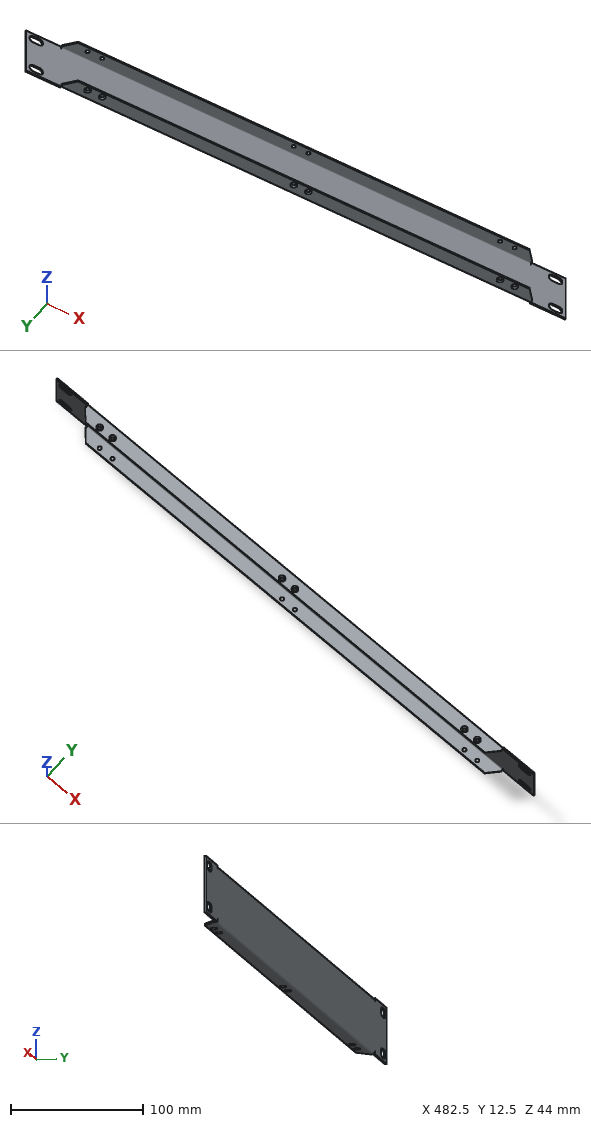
import cadquery as cq

PANEL_WIDTH = 482.5
PANEL_HEIGHT = 44.0
SHEET_THICKNESS = 1.5

FLANGE_DEPTH = 12.5
FLANGE_LENGTH = 420.0
BEND_OUTER_RADIUS = 2.5
BEND_INNER_RADIUS = BEND_OUTER_RADIUS - SHEET_THICKNESS
CORNER_CUT_LENGTH = 8.0
CORNER_CUT_DEPTH = 9.0

SLOT_LENGTH = 12.0
SLOT_HEIGHT = 6.8
SLOT_SPACING_X = 464.5
SLOT_SPACING_Z = 32.0

HOLE_DIAMETER = 3.0
COUNTERSINK_DIAMETER = 5.5
COUNTERSINK_DEPTH = (COUNTERSINK_DIAMETER - HOLE_DIAMETER) / 2
HOLE_SETBACK = 8.5
HOLE_PAIR_PITCH = 13.0
END_PAIR_OFFSET = 184.5


def make_rounded_block(height, back_y, bend_radius):
    """Block as long as the flanges, with its two rear long edges rounded."""
    return (
        cq.Workplane("XY")
        .box(FLANGE_LENGTH, 2 * FLANGE_DEPTH, height)
        .edges("|X and >Y")
        .fillet(bend_radius)
        .translate((0, back_y - FLANGE_DEPTH, 0))
    )


def make_flange_outline():
    """Plan outline of the flanges, with sloped front corners."""
    half_length = FLANGE_LENGTH / 2
    front_half_length = half_length - CORNER_CUT_LENGTH
    corner_y = CORNER_CUT_DEPTH - FLANGE_DEPTH
    return (
        cq.Workplane("XY")
        .polyline([
            (-half_length, 0),
            (half_length, 0),
            (half_length, corner_y),
            (front_half_length, -FLANGE_DEPTH),
            (-front_half_length, -FLANGE_DEPTH),
            (-half_length, corner_y),
        ])
        .close()
        .extrude(PANEL_HEIGHT, both=True)
    )


def make_channel():
    """Folded C-shaped sheet, open toward the front."""
    inner_height = PANEL_HEIGHT - 2 * SHEET_THICKNESS
    outside = make_rounded_block(PANEL_HEIGHT, 0, BEND_OUTER_RADIUS)
    inside = make_rounded_block(inner_height, -SHEET_THICKNESS, BEND_INNER_RADIUS)
    return outside.cut(inside).intersect(make_flange_outline())


def make_panel_ends():
    """Flat full-height plate to the left and right of the flanges."""
    end_length = (PANEL_WIDTH - FLANGE_LENGTH) / 2
    end_center = (PANEL_WIDTH - end_length) / 2
    return (
        cq.Workplane("XZ")
        .pushPoints([(-end_center, 0), (end_center, 0)])
        .rect(end_length, PANEL_HEIGHT)
        .extrude(SHEET_THICKNESS)
    )


def make_slot_cutters():
    return (
        cq.Workplane("XZ")
        .rarray(SLOT_SPACING_X, SLOT_SPACING_Z, 2, 2)
        .slot2D(SLOT_LENGTH, SLOT_HEIGHT)
        .extrude(SHEET_THICKNESS)
    )


def make_hole_cutter(x):
    """Drill through both flanges, with a countersink on each outer face."""
    cutter = (
        cq.Workplane("XY")
        .center(x, -HOLE_SETBACK)
        .circle(HOLE_DIAMETER / 2)
        .extrude(PANEL_HEIGHT, both=True)
    )
    for outward in (-1, 1):
        cone = cq.Solid.makeCone(
            COUNTERSINK_DIAMETER / 2,
            HOLE_DIAMETER / 2,
            COUNTERSINK_DEPTH,
            pnt=cq.Vector(x, -HOLE_SETBACK, outward * PANEL_HEIGHT / 2),
            dir=cq.Vector(0, 0, -outward),
        )
        cutter = cutter.union(cq.Workplane(cone))
    return cutter


result = make_channel().union(make_panel_ends()).cut(make_slot_cutters())
for pair_x in (-END_PAIR_OFFSET, 0, END_PAIR_OFFSET):
    for side in (-1, 1):
        result = result.cut(make_hole_cutter(pair_x + side * HOLE_PAIR_PITCH / 2))